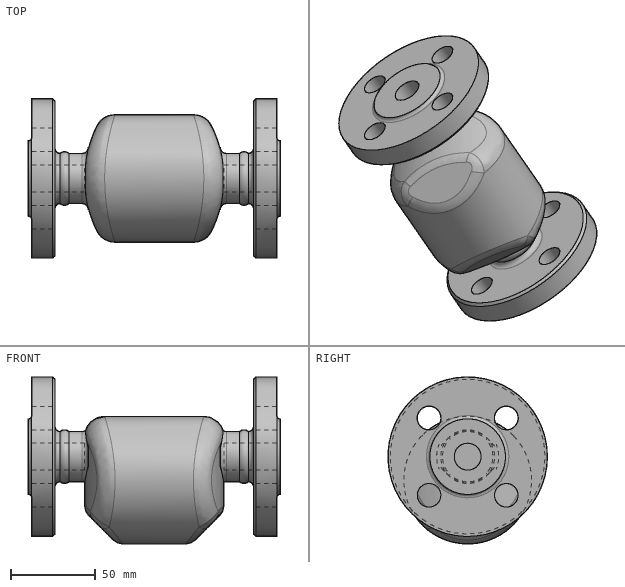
import cadquery as cq
import math

overall_length = 150.0
flange_diameter = 95.0
flange_thickness = 14.0
flange_edge_chamfer = 1.5
raised_face_diameter = 45.0
raised_face_height = 2.0
bolt_circle_diameter = 65.0
bolt_hole_diameter = 14.0
bolt_count = 4
bore_diameter = 16.0

neck_diameter = 30.0
bead_height = 1.0
bead_width = 5.2
flange_flare_radius = 3.0
body_flare_start = 42.9
body_flare_radius = 3.5

body_diameter = 76.0
body_drop = 14.0
body_length = 83.0
end_dome_radius = 70.0
end_fillet = 12.0
sloped_face_setback = 19.5
sloped_face_fillet = 8.0

full_turn = 360.0
half_bolt_spacing = full_turn / bolt_count / 2
half_length = overall_length / 2
half_body = body_length / 2
body_radius = body_diameter / 2
body_bottom = -body_drop - body_radius
neck_radius = neck_diameter / 2
flange_front = half_length - raised_face_height
flange_back = flange_front - flange_thickness
bead_outer_end = flange_back - flange_flare_radius
bead_inner_end = bead_outer_end - bead_width
bore_depth = half_length - half_body


def make_dome(direction):
    """Vertical cylinder whose wall forms the curved body end on the given X side."""
    return (
        cq.Workplane("XY", origin=(direction * (half_body - end_dome_radius), 0, body_bottom))
        .circle(end_dome_radius)
        .extrude(body_diameter)
    )


def make_slope_cutter(direction):
    """Prism removing the lower body corner at 45 degrees on the given X side."""
    return (
        cq.Workplane("XZ")
        .moveTo(direction * half_body, body_bottom + sloped_face_setback)
        .lineTo(direction * half_body, body_bottom)
        .lineTo(direction * (half_body - sloped_face_setback), body_bottom)
        .close()
        .extrude(body_radius, both=True)
    )


def make_body():
    """Drum with domed, rounded ends and a rounded slope under each end."""
    drum = (
        cq.Workplane("YZ", origin=(-half_body, 0, -body_drop))
        .circle(body_radius)
        .extrude(body_length)
    )
    for direction in (-1, 1):
        drum = drum.intersect(make_dome(direction))
    drum = drum.edges("not |X").fillet(end_fillet)
    for direction in (-1, 1):
        drum = drum.cut(make_slope_cutter(direction))
    for direction in (-1, 1):
        sloped_face = cq.selectors.DirectionMinMaxSelector(cq.Vector(direction, 0, -1))
        drum = drum.faces(sloped_face).edges().fillet(sloped_face_fillet)
    return drum


def make_connection():
    """Flange and neck on the +X side, revolved about the pipe axis."""
    flange_radius = flange_diameter / 2
    face_radius = raised_face_diameter / 2
    arc_offset = 1 - math.sqrt(0.5)
    raised_face_offset = raised_face_height * arc_offset
    flange_flare_offset = flange_flare_radius * arc_offset
    body_flare_offset = body_flare_radius * arc_offset
    bead_middle = (bead_inner_end + bead_outer_end) / 2
    flare_end = body_flare_start - body_flare_radius
    profile = (
        cq.Workplane("XY")
        .moveTo(0, 0)
        .lineTo(half_length, 0)
        .lineTo(half_length, face_radius)
        .threePointArc(
            (flange_front + raised_face_offset, face_radius + raised_face_offset),
            (flange_front, face_radius + raised_face_height),
        )
        .lineTo(flange_front, flange_radius)
        .lineTo(flange_back + flange_edge_chamfer, flange_radius)
        .lineTo(flange_back, flange_radius - flange_edge_chamfer)
        .lineTo(flange_back, neck_radius + flange_flare_radius)
        .threePointArc(
            (flange_back - flange_flare_offset, neck_radius + flange_flare_offset),
            (bead_outer_end, neck_radius),
        )
        .threePointArc((bead_middle, neck_radius + bead_height), (bead_inner_end, neck_radius))
        .lineTo(body_flare_start, neck_radius)
        .threePointArc(
            (flare_end + body_flare_offset, neck_radius + body_flare_offset),
            (flare_end, neck_radius + body_flare_radius),
        )
        .lineTo(0, neck_radius)
        .close()
    )
    connection = profile.revolve(full_turn, (0, 0, 0), (1, 0, 0))
    bolt_holes = (
        cq.Workplane("YZ", origin=(flange_back, 0, 0))
        .polarArray(bolt_circle_diameter / 2, half_bolt_spacing, full_turn, bolt_count)
        .circle(bolt_hole_diameter / 2)
        .extrude(flange_thickness)
    )
    return connection.cut(bolt_holes)


def make_bore():
    """Blind flow bore entering from the +X side."""
    return (
        cq.Workplane("YZ", origin=(half_length - bore_depth, 0, 0))
        .circle(bore_diameter / 2)
        .extrude(bore_depth)
    )


connection = make_connection()
bore = make_bore()
result = make_body()
result = result.union(connection).union(connection.mirror("YZ"))
result = result.cut(bore).cut(bore.mirror("YZ"))